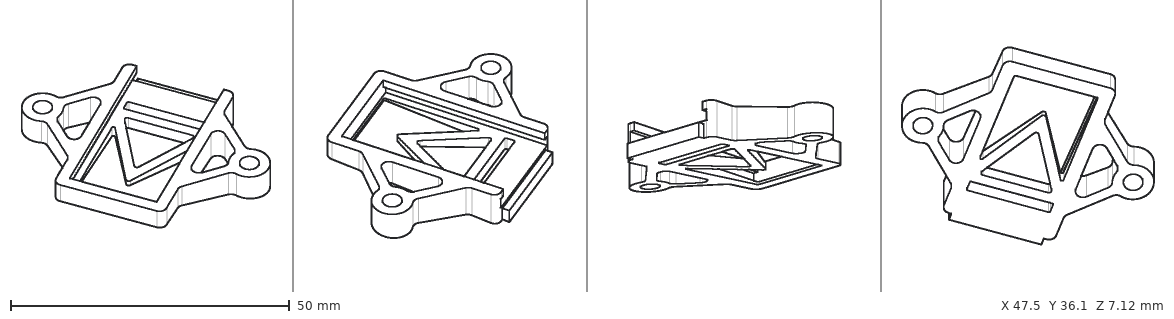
import cadquery as cq
import math

ear_spacing = 40.0
ear_diameter = 7.5
hole_diameter = 3.5
body_width = 21.38
body_front = -18.1
body_back = 16.55
total_height = 7.12
underside_angle = 5.0
corner_radius = 1.4

strip_width = 2.0

mouth_width = 16.8
mouth_depth = 1.6
channel_width = 18.8
floor_depth = 3.7
front_wall = 2.3

tongue_width = 17.58
tongue_length = 1.4
tongue_top = -4.3

opening_width = 15.85
opening_front = -15.4
slot_front = 8.85
slot_back = 10.85
small_radius = 0.3
brace_radius = 0.48
triangle_apex = -5.3

ear_x = ear_spacing / 2
tongue_back = body_back + tongue_length
pocket_front = body_front + front_wall
arm_offset = strip_width / 2 * math.sqrt(2)


def block(width, front, back, bottom, top):
    """Box centred on X = 0 between the given Y and Z limits."""
    return (
        cq.Workplane("XY", origin=(0, (front + back) / 2, bottom))
        .box(width, back - front, top - bottom, centered=(True, True, False))
    )


def prism(points):
    """Full-height prism with the given plan outline."""
    return (
        cq.Workplane("XY", origin=(0, 0, -total_height))
        .polyline(points)
        .close()
        .extrude(total_height)
    )


def ear_cylinder(x, diameter):
    return (
        cq.Workplane("XY", origin=(x, 0, -total_height))
        .circle(diameter / 2)
        .extrude(total_height)
    )


def arm_triangle(side, tip_x):
    """Right-angled triangle from the body side to a tip on the X axis."""
    wall_x = body_width / 2
    reach = tip_x - wall_x
    return prism([(side * wall_x, -reach), (side * tip_x, 0), (side * wall_x, reach)])


def side_window(side):
    window = arm_triangle(side, ear_x - arm_offset)
    return window.cut(ear_cylinder(side * ear_x, ear_diameter)).edges("|Z").fillet(corner_radius)


def frame():
    """Body, arms and ears with rounded vertical edges."""
    outline = block(body_width, body_front, body_back, -total_height, 0)
    for side in (-1, 1):
        outline = outline.union(arm_triangle(side, ear_x + arm_offset))
        outline = outline.union(ear_cylinder(side * ear_x, ear_diameter))
    between_ears = cq.selectors.BoxSelector(
        (-ear_x, 2 * body_front, -total_height), (ear_x, 2 * body_back, 0)
    )
    outline = outline.edges("|Z").edges(between_ears).fillet(corner_radius)
    for side in (-1, 1):
        outline = outline.cut(side_window(side))
        outline = outline.cut(ear_cylinder(side * ear_x, hole_diameter))
    return outline


def pocket():
    """Pocket open at the top and back, undercut along both sides."""
    mouth = block(mouth_width, pocket_front, body_back, -floor_depth, 0)
    channel = block(channel_width, pocket_front, body_back, -floor_depth, -mouth_depth)
    return mouth.union(channel)


def floor_openings():
    """Slot, triangle and V-topped opening, separated by strips of equal width."""
    slope = math.tan(math.radians(60))
    slot = block(opening_width, slot_front, slot_back, -total_height, 0)
    slot = slot.edges("|Z").fillet(small_radius)

    triangle_back = slot_front - strip_width
    half_base = (triangle_back - triangle_apex) / slope
    triangle = prism([(-half_base, triangle_back), (half_base, triangle_back), (0, triangle_apex)])
    triangle = triangle.edges("|Z").fillet(brace_radius)

    half_width = opening_width / 2
    brace_apex = triangle_apex - 2 * strip_width
    brace_end = brace_apex + slope * half_width
    main = prism([
        (-half_width, opening_front),
        (half_width, opening_front),
        (half_width, brace_end),
        (0, brace_apex),
        (-half_width, brace_end),
    ])
    main = main.faces("<X or >X").edges("|Z").fillet(small_radius)
    apex_edge = cq.selectors.NearestToPointSelector((0, brace_apex, -total_height / 2))
    main = main.edges(apex_edge).fillet(brace_radius)
    return slot.union(triangle).union(main)


def below_underside():
    """Wedge below the sloping underside, which is lowest at the tongue end."""
    rise = (tongue_back - body_front) * math.tan(math.radians(underside_angle))
    return (
        cq.Workplane("YZ")
        .polyline([
            (tongue_back, -total_height),
            (body_front, -total_height),
            (body_front, -total_height + rise),
        ])
        .close()
        .extrude(ear_spacing, both=True)
    )


tongue = block(tongue_width, body_back - tongue_length, tongue_back, -total_height, tongue_top)
result = frame().cut(pocket()).union(tongue).cut(floor_openings()).cut(below_underside())